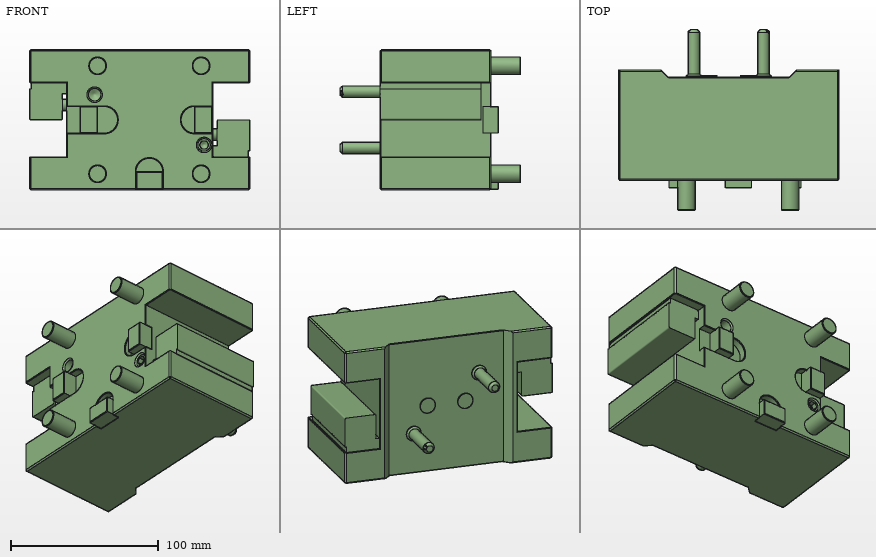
import cadquery as cq
import math

BLOCK_X = 149.0
BLOCK_Y = 75.0
BLOCK_Z = 95.0
OUTER_CHAMFER = 1.0
FINE_CHAMFER = 0.5
CHAMFER_ANGLE = 45

SIDE_NOTCH_WALL = 49.5
SIDE_NOTCH_HALF_HEIGHT = 25.0
BACK_RECESS_HALF_WIDTH = 41.0
BACK_RECESS_DEPTH = 5.0

JAW_FRONT_Y = 6.7
JAW_GAP = 2.8
JAW_FOOT_Z = 17.5
JAW_STEP_Z = 21.0
JAW_STEP_DEPTH = 1.1
JAW_FILLET = 1.0
JAW_SMALL_FILLET = 0.5
BOLT_DIAMETER = 8.0
BOLT_Z = 10.0
JAW_MIDDLE_Y = (JAW_FRONT_Y + BLOCK_Y) / 2

PATTERN_X = 6.5

PIN_DIAMETER = 12.0
PIN_LENGTH = 20.0
PIN_SPACING_X = 70.0
PIN_SPACING_Z = 73.0

KEY_WIDTH = 18.0
KEY_THICKNESS = 12.0
KEY_HEIGHT = 5.0
POCKET_DEPTH = 5.5
POCKET_CENTRE_OFFSET = 30.5
LEFT_KEY_INNER_X = PATTERN_X - 35.0
RIGHT_KEY_INNER_X = PATTERN_X + POCKET_CENTRE_OFFSET
BOTTOM_POCKET_Z = -35.0

SCREW_OFFSET_X = 37.0
SCREW_OFFSET_Z = 17.0
HOLE_DIAMETER = 8.5
HOLE_RIM_DIAMETER = 10.5
HOLE_DEPTH = 15.0
DRILL_TIP_HALF_ANGLE = math.radians(59)
SET_SCREW_SINK = 1.0
HEX_ACROSS_CORNERS = 6.5
HEX_DEPTH = 4.0

CONNECTOR_DIAMETER = 8.0
CONNECTOR_END_Y = 102.34
CONNECTOR_X = 23.5
CONNECTOR_Z = 19.0
TIP_DIAMETER = 4.6
TIP_LENGTH = 2.0
COLLAR_DIAMETER = 10.5
COLLAR_RIM = 0.8
COLLAR_HEIGHT = 2.0
NOZZLE_DIAMETER = 3.6
NOZZLE_BORE = 2.4
NOZZLE_LENGTH = 1.5
NOZZLE_SEAT_RADIUS = 3.3
NOZZLE_SEAT_DEPTH = 1.3
NOZZLE_ROLL = 20.0

DISC_X = 13.5
DISC_DIAMETER = 10.8
DISC_HEIGHT = 1.0

BACK_FLOOR_Y = BLOCK_Y - BACK_RECESS_DEPTH


def box(x0, x1, y0, y1, z0, z1):
    return cq.Workplane("XY").box(x1 - x0, y1 - y0, z1 - z0, centered=False).translate((x0, y0, z0))


def rod(x, z, y, length, diameter):
    """Cylinder along +Y whose near end is at y."""
    return cq.Workplane("XZ", origin=(x, y, z)).circle(diameter / 2).extrude(-length)


def turned(x, z, profile):
    """Solid of revolution about the Y line through (x, z); profile holds (radius, y) points."""
    return cq.Workplane("XY").polyline(profile).close().revolve(
        360, (0, 0, 0), (0, 1, 0)).translate((x, 0, z))


def half_turned(part):
    """Copy of a part turned half a turn about the Y axis."""
    return part.rotate((0, 0, 0), (0, 1, 0), 180)


def make_notch_cutter():
    """Right side notch, flared by a fine chamfer at its front, back and outer mouths."""
    c = FINE_CHAMFER
    wide = 2 * (SIDE_NOTCH_HALF_HEIGHT + c)
    deep = 2 * (BLOCK_X - SIDE_NOTCH_WALL + c)
    notch = box(
        SIDE_NOTCH_WALL, BLOCK_X, -1, BLOCK_Y + 1, -SIDE_NOTCH_HALF_HEIGHT, SIDE_NOTCH_HALF_HEIGHT)
    front = cq.Workplane("XZ", origin=(BLOCK_X, 0, 0)).rect(deep, wide).extrude(-c, taper=CHAMFER_ANGLE)
    back = cq.Workplane("XZ", origin=(BLOCK_X, BLOCK_Y, 0)).rect(deep, wide).extrude(c, taper=CHAMFER_ANGLE)
    outer = cq.Workplane("YZ", origin=(BLOCK_X / 2, 0, 0)).rect(4 * BLOCK_Y, wide)
    outer = outer.extrude(-c, taper=CHAMFER_ANGLE)
    return notch.union(front).union(back).union(outer)


def make_block():
    block = box(-BLOCK_X / 2, BLOCK_X / 2, 0, BLOCK_Y, -BLOCK_Z / 2, BLOCK_Z / 2)
    block = block.edges().chamfer(OUTER_CHAMFER)

    top_half_width = BACK_RECESS_HALF_WIDTH + BACK_RECESS_DEPTH
    recess = (
        cq.Workplane("XY")
        .moveTo(-top_half_width, BLOCK_Y)
        .lineTo(-BACK_RECESS_HALF_WIDTH, BACK_FLOOR_Y)
        .lineTo(BACK_RECESS_HALF_WIDTH, BACK_FLOOR_Y)
        .lineTo(top_half_width, BLOCK_Y)
        .close()
        .extrude(BLOCK_Z / 2, both=True)
    )
    block = block.cut(recess)
    floor_rims = cq.selectors.BoxSelector(
        (-1, BACK_FLOOR_Y - 1, -BLOCK_Z), (1, BACK_FLOOR_Y + 1, BLOCK_Z))
    block = block.edges(floor_rims).chamfer(FINE_CHAMFER)

    notch = make_notch_cutter()
    return block.cut(notch).cut(half_turned(notch))


def make_jaw():
    """Left jaw; its foot bears on the notch wall and its top on the notch ceiling."""
    outer = -BLOCK_X / 2
    inner = -SIDE_NOTCH_WALL - JAW_GAP
    jaw = (
        cq.Workplane("XZ", origin=(0, JAW_FRONT_Y, 0))
        .moveTo(outer, 0)
        .lineTo(inner, 0)
        .lineTo(inner, JAW_FOOT_Z)
        .lineTo(-SIDE_NOTCH_WALL, JAW_FOOT_Z)
        .lineTo(-SIDE_NOTCH_WALL, SIDE_NOTCH_HALF_HEIGHT)
        .lineTo(outer + JAW_STEP_DEPTH, SIDE_NOTCH_HALF_HEIGHT)
        .lineTo(outer + JAW_STEP_DEPTH, JAW_STEP_Z)
        .lineTo(outer, JAW_STEP_Z)
        .close()
        .extrude(JAW_FRONT_Y - BLOCK_Y)
    )
    small_corners = (
        (-SIDE_NOTCH_WALL, SIDE_NOTCH_HALF_HEIGHT),
        (-SIDE_NOTCH_WALL, JAW_FOOT_Z),
        (outer, JAW_STEP_Z),
    )
    for x, z in small_corners:
        corner = cq.selectors.NearestToPointSelector((x, JAW_MIDDLE_Y, z))
        jaw = jaw.edges("|Y").edges(corner).fillet(JAW_SMALL_FILLET)
    jaw = jaw.edges("|Y and <Z").fillet(JAW_FILLET)
    bolt_start = cq.Workplane("YZ", origin=(inner, JAW_MIDDLE_Y, BOLT_Z))
    bolt = bolt_start.circle(BOLT_DIAMETER / 2).extrude(JAW_GAP)
    return jaw.union(bolt)


def make_pocket(x, z, angle):
    """Round-ended pocket with a broken rim; it runs from (x, z) along +X turned by angle."""

    def outline(radius):
        return (
            cq.Workplane("XZ")
            .moveTo(BLOCK_X, -radius)
            .lineTo(0, -radius)
            .threePointArc((-radius, 0), (0, radius))
            .lineTo(BLOCK_X, radius)
            .close()
        )

    half_width = KEY_WIDTH / 2
    recess = outline(half_width).extrude(-POCKET_DEPTH)
    rim = outline(half_width + FINE_CHAMFER).extrude(-FINE_CHAMFER, taper=CHAMFER_ANGLE)
    return recess.union(rim).rotate((0, 0, 0), (0, 1, 0), angle).translate((x, 0, z))


def make_key(x0, x1, z0, z1):
    return box(x0, x1, -KEY_HEIGHT, POCKET_DEPTH, z0, z1).faces("<Y").edges().chamfer(FINE_CHAMFER)


def make_screw_hole(x, z):
    radius = HOLE_DIAMETER / 2
    rim = HOLE_RIM_DIAMETER / 2
    tip = HOLE_DEPTH + radius / math.tan(DRILL_TIP_HALF_ANGLE)
    return turned(x, z, [(0, 0), (rim, 0), (radius, rim - radius), (radius, HOLE_DEPTH), (0, tip)])


def make_set_screw(x, z):
    screw = rod(x, z, SET_SCREW_SINK, HOLE_DEPTH - SET_SCREW_SINK, HOLE_DIAMETER)
    head_face = cq.Workplane("XZ", origin=(x, SET_SCREW_SINK, z))
    socket = head_face.polygon(6, HEX_ACROSS_CORNERS).extrude(-HEX_DEPTH)
    floor_y = SET_SCREW_SINK + HEX_DEPTH
    floor_radius = HEX_ACROSS_CORNERS / 2 * math.cos(math.radians(30))
    tip_y = floor_y + floor_radius / math.tan(DRILL_TIP_HALF_ANGLE)
    tip = turned(x, z, [(0, floor_y), (floor_radius, floor_y), (0, tip_y)])
    return screw.cut(socket).cut(tip)


def make_connector():
    """Left connector pin with a tapered collar and an oblique nozzle on its tip."""
    radius = CONNECTOR_DIAMETER / 2
    collar = COLLAR_DIAMETER / 2
    shoulder_y = CONNECTOR_END_Y - TIP_LENGTH
    pin = turned(0, 0, [
        (0, BACK_FLOOR_Y),
        (collar, BACK_FLOOR_Y),
        (collar, BACK_FLOOR_Y + COLLAR_RIM),
        (radius, BACK_FLOOR_Y + COLLAR_HEIGHT),
        (radius, shoulder_y),
        (TIP_DIAMETER / 2, CONNECTOR_END_Y),
        (0, CONNECTOR_END_Y),
    ])
    direction = cq.Plane(
        origin=(NOZZLE_SEAT_RADIUS, CONNECTOR_END_Y - NOZZLE_SEAT_DEPTH, 0),
        xDir=(0, 0, 1),
        normal=(1, 1, 0),
    )
    envelope = rod(0, 0, BACK_FLOOR_Y, CONNECTOR_END_Y - BACK_FLOOR_Y, CONNECTOR_DIAMETER)
    nozzle = cq.Workplane(direction).circle(NOZZLE_DIAMETER / 2).extrude(-NOZZLE_LENGTH)
    nozzle = nozzle.intersect(envelope)
    bore = cq.Workplane(direction).circle(NOZZLE_BORE / 2).extrude(-NOZZLE_LENGTH)

    pin = pin.union(nozzle).cut(bore)
    turn = 180 - NOZZLE_ROLL
    return pin.rotate((0, 0, 0), (0, 1, 0), turn).translate((-CONNECTOR_X, 0, CONNECTOR_Z))


def cut_pockets(body):
    places = (
        (PATTERN_X - POCKET_CENTRE_OFFSET, 0, 180),
        (PATTERN_X + POCKET_CENTRE_OFFSET, 0, 0),
        (PATTERN_X, BOTTOM_POCKET_Z, 90),
    )
    for x, z, angle in places:
        body = body.cut(make_pocket(x, z, angle))
    return body


def add_keys(body):
    half = KEY_WIDTH / 2
    left = make_key(LEFT_KEY_INNER_X - KEY_THICKNESS, LEFT_KEY_INNER_X, -half, half)
    right = make_key(RIGHT_KEY_INNER_X, RIGHT_KEY_INNER_X + KEY_THICKNESS, -half, half)
    bottom = make_key(
        PATTERN_X - half, PATTERN_X + half, BOTTOM_POCKET_Z - KEY_THICKNESS, BOTTOM_POCKET_Z)
    return body.union(left).union(right).union(bottom)


def add_screw_holes(body):
    """Open hole at the upper left; the lower right one holds a set screw."""
    for side in (-1, 1):
        body = body.cut(make_screw_hole(PATTERN_X + side * SCREW_OFFSET_X, -side * SCREW_OFFSET_Z))
    return body.union(make_set_screw(PATTERN_X + SCREW_OFFSET_X, -SCREW_OFFSET_Z))


def add_guide_pins(body):
    for x_side in (-1, 1):
        for z_side in (-1, 1):
            x = PATTERN_X + x_side * PIN_SPACING_X / 2
            z = z_side * PIN_SPACING_Z / 2
            pin = rod(x, z, -PIN_LENGTH, PIN_LENGTH, PIN_DIAMETER)
            body = body.union(pin.faces("<Y").chamfer(FINE_CHAMFER))
    return body


def add_half_turn_pairs(body):
    """Jaws, connector pins and discs, each with its copy half a turn about Y."""
    disc = rod(-DISC_X, 0, BACK_FLOOR_Y, DISC_HEIGHT, DISC_DIAMETER)
    for feature in (make_jaw(), make_connector(), disc):
        body = body.union(feature).union(half_turned(feature))
    return body


result = make_block()
result = cut_pockets(result)
result = add_keys(result)
result = add_screw_holes(result)
result = add_guide_pins(result)
result = add_half_turn_pairs(result)